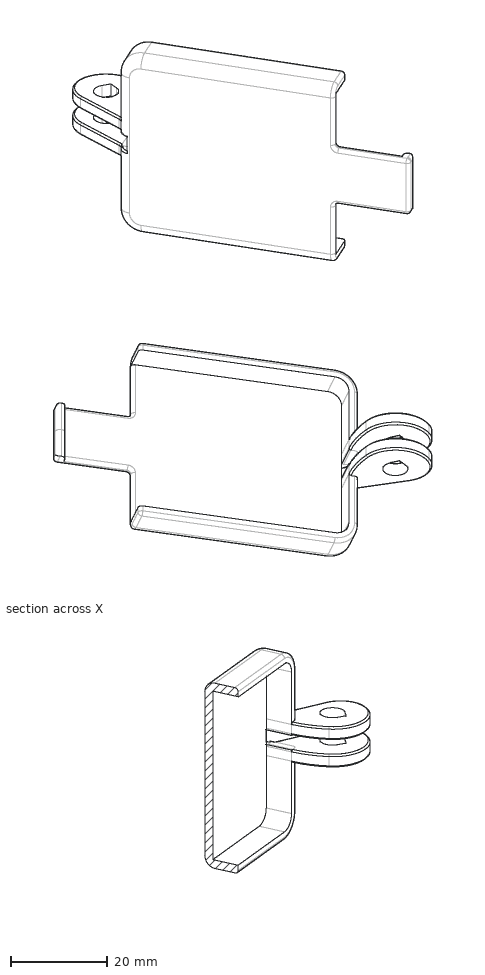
import cadquery as cq
import math

TRAY_LENGTH = 47.0
TRAY_DEPTH = 8.0
TRAY_HEIGHT = 42.0
WALL = 2.0
FLOOR = 2.0
CORNER_RADIUS = 5.0
FLOOR_ROUND = 2.5
FLOOR_ROUND_CENTER = (FLOOR_ROUND, FLOOR_ROUND)
EDGE_ROUND = 0.8

TAB_END = 63.41
TAB_WIDTH = 13.0
BUMP_TOP = 3.08
BUMP_RADIUS = 1.03

LUG_GAP = 3.3
LUG_THICKNESS = 2.9
LUG_CHAMFER = 0.4
HUB = (-6.7, 13.0)
HUB_RADIUS = 7.7
NOSE_X = -14.0
NOSE_RADIUS = 6.0
UNDERSIDE_NORMAL = math.radians(240)
ROOT_RADIUS = 1.85
ROOT_BITE = 0.03
HOLE_CENTER = (-6.65, 12.9)
HOLE_RADIUS = 2.6
HOLE_PEAK = 3.25

MARGIN = 0.1


def point_on_circle(center, radius, angle):
    return (center[0] + radius * math.cos(angle), center[1] + radius * math.sin(angle))


def direction(start, end):
    return math.atan2(end[1] - start[1], end[0] - start[0])


def centered_block(x_start, x_end, y_start, y_end, width):
    """A block between the given X and Y limits, centred on Z = 0."""
    size = (x_end - x_start, y_end - y_start, width)
    block = cq.Workplane("XY").box(*size, centered=(False, False, True))
    return block.translate((x_start, y_start, 0))


def edges_in(x_range, y_range, z_range):
    low, high = zip(x_range, y_range, z_range)
    return cq.selectors.BoxSelector(low, high)


def tab_piece(x_start, y_start, y_end):
    """A full-width block of the tab that ends at its tip, with rounded tip corners."""
    piece = centered_block(x_start, TAB_END, y_start, y_end, TAB_WIDTH)
    return piece.edges("|Y and >X").fillet(EDGE_ROUND)


def make_block_with_tab():
    """The solid outside shape of the tray and its tab, before rounding the end."""
    block = centered_block(0, TRAY_LENGTH, 0, TRAY_DEPTH, TRAY_HEIGHT)
    block = block.edges("|Y and <X").fillet(CORNER_RADIUS)
    block = block.faces("<Y").edges("not >X").fillet(FLOOR_ROUND)
    block = block.faces(">Y").edges("not >X").fillet(EDGE_ROUND)
    return block.union(tab_piece(WALL + CORNER_RADIUS, 0, FLOOR))


def cut_cavity(block):
    inner_height = TRAY_HEIGHT - 2 * WALL
    cavity = centered_block(WALL, TRAY_LENGTH + MARGIN, FLOOR, TRAY_DEPTH + MARGIN, inner_height)
    cavity = cavity.edges("|Y and <X").fillet(CORNER_RADIUS - WALL)
    return block.cut(cavity)


def round_open_end(tray):
    """Round the tab roots, then the outer edges of the open end and of the tab."""
    near_end = (TRAY_LENGTH - MARGIN, TRAY_LENGTH + MARGIN)
    tab_sides = (-TAB_WIDTH / 2 - MARGIN, TAB_WIDTH / 2 + MARGIN)
    roots = edges_in(near_end, (0, FLOOR), tab_sides)
    tray = tray.edges(roots).edges("|Y").fillet(EDGE_ROUND)

    beyond_end = (TRAY_LENGTH - MARGIN, TAB_END + MARGIN)
    half = TRAY_HEIGHT / 2
    under_edges = edges_in(beyond_end, (-MARGIN, MARGIN), (-half, half))
    outer_skin = WALL - MARGIN
    upper_corner = edges_in(beyond_end, (MARGIN, TRAY_DEPTH), (half - outer_skin, half + MARGIN))
    lower_corner = edges_in(beyond_end, (MARGIN, TRAY_DEPTH), (-half - MARGIN, outer_skin - half))
    return tray.edges(under_edges + upper_corner + lower_corner).fillet(EDGE_ROUND)


def round_tab_top(tray):
    """Round the upper edges of the tab and of its roots."""
    beyond_end = (TRAY_LENGTH + MARGIN, TAB_END + MARGIN)
    near_top = (FLOOR - MARGIN, FLOOR + MARGIN)
    tab_sides = (-TAB_WIDTH / 2 - EDGE_ROUND, TAB_WIDTH / 2 + EDGE_ROUND)
    return tray.edges(edges_in(beyond_end, near_top, tab_sides)).fillet(EDGE_ROUND)


def add_bump(tray):
    """A round-topped ridge across the tip of the tab, flush with the sides of the tab."""
    ridge_x = TAB_END - BUMP_RADIUS
    ridge_y = BUMP_TOP - BUMP_RADIUS
    lower = centered_block(ridge_x - BUMP_RADIUS, TAB_END, 0, ridge_y, TAB_WIDTH)
    top = cq.Workplane("XY").center(ridge_x, ridge_y).circle(BUMP_RADIUS)
    ridge = lower.union(top.extrude(TAB_WIDTH / 2, both=True))
    return tray.union(ridge.intersect(tab_piece(ridge_x - BUMP_RADIUS, EDGE_ROUND, BUMP_TOP)))


def nose_center():
    """Center of the nose circle, which touches the hub circle inside and reaches out to NOSE_X."""
    x = NOSE_X + NOSE_RADIUS
    rise = math.sqrt((HUB_RADIUS - NOSE_RADIUS) ** 2 - (x - HUB[0]) ** 2)
    return (x, HUB[1] + rise)


def root_center():
    """Center of the root circle, tangent to the lug underside and meeting the rounded floor edge."""
    nose = nose_center()
    offset_start = point_on_circle(nose, NOSE_RADIUS + ROOT_RADIUS, UNDERSIDE_NORMAL)
    slope_angle = UNDERSIDE_NORMAL + math.pi / 2
    reach = math.dist(offset_start, FLOOR_ROUND_CENTER)
    reach_angle = direction(offset_start, FLOOR_ROUND_CENTER) - slope_angle
    rise = reach * math.sin(reach_angle)
    spacing = FLOOR_ROUND + ROOT_RADIUS - ROOT_BITE
    along = reach * math.cos(reach_angle) - math.sqrt(spacing**2 - rise**2)
    return point_on_circle(offset_start, along, slope_angle)


def lug_outline():
    """Teardrop around the hinge hole, ending inside the closed wall of the tray."""
    nose = nose_center()
    nose_top_angle = direction(HUB, nose)
    nose_top = point_on_circle(HUB, HUB_RADIUS, nose_top_angle)
    nose_tip = (NOSE_X, nose[1])
    nose_middle = point_on_circle(nose, NOSE_RADIUS, (nose_top_angle + math.pi) / 2)
    nose_end = point_on_circle(nose, NOSE_RADIUS, UNDERSIDE_NORMAL)
    nose_lower = point_on_circle(nose, NOSE_RADIUS, (math.pi + UNDERSIDE_NORMAL) / 2)

    back_foot = (WALL, TRAY_DEPTH)
    run = back_foot[0] - HUB[0]
    drop = HUB[1] - back_foot[1]
    back_radius = (run**2 + drop**2 - HUB_RADIUS**2) / (2 * (run - HUB_RADIUS))
    back = (back_foot[0] - back_radius, back_foot[1])
    back_angle = direction(back, HUB)
    back_top = point_on_circle(HUB, HUB_RADIUS, back_angle)
    back_middle = point_on_circle(back, back_radius, back_angle / 2)
    hub_top = (HUB[0], HUB[1] + HUB_RADIUS)
    hub_left = point_on_circle(HUB, HUB_RADIUS, (math.pi / 2 + nose_top_angle) / 2)
    hub_right = point_on_circle(HUB, HUB_RADIUS, (math.pi / 2 + back_angle) / 2)

    root = root_center()
    root_start_angle = UNDERSIDE_NORMAL - math.pi
    root_end_angle = direction(root, FLOOR_ROUND_CENTER)
    root_start = point_on_circle(root, ROOT_RADIUS, root_start_angle)
    root_middle = point_on_circle(root, ROOT_RADIUS, (root_start_angle + root_end_angle) / 2)
    root_end = point_on_circle(root, ROOT_RADIUS, root_end_angle)

    return (
        cq.Workplane("XY")
        .moveTo(*hub_top)
        .threePointArc(hub_left, nose_top)
        .threePointArc(nose_middle, nose_tip)
        .threePointArc(nose_lower, nose_end)
        .lineTo(*root_start)
        .threePointArc(root_middle, root_end)
        .lineTo(WALL, root_end[1])
        .lineTo(*back_foot)
        .threePointArc(back_middle, back_top)
        .threePointArc(hub_right, hub_top)
        .close()
    )


def hinge_hole():
    """Round hole with a small peak towards +Y."""
    tangent_angle = math.acos(HOLE_RADIUS / HOLE_PEAK)
    right = point_on_circle(HOLE_CENTER, HOLE_RADIUS, math.pi / 2 - tangent_angle)
    left = point_on_circle(HOLE_CENTER, HOLE_RADIUS, math.pi / 2 + tangent_angle)
    bottom = (HOLE_CENTER[0], HOLE_CENTER[1] - HOLE_RADIUS)
    peak = (HOLE_CENTER[0], HOLE_CENTER[1] + HOLE_PEAK)
    outline = cq.Workplane("XY").moveTo(*left).threePointArc(bottom, right)
    return outline.lineTo(*peak).close().extrude(TRAY_HEIGHT / 2, both=True)


def cut_notch(tray):
    """Open the closed wall in the gap between the lugs."""
    return tray.cut(centered_block(-MARGIN, WALL, -MARGIN, TRAY_DEPTH + MARGIN, LUG_GAP))


def add_lugs(tray):
    lug = lug_outline().extrude(LUG_THICKNESS)
    lug = lug.faces("<Z or >Z").edges().chamfer(LUG_CHAMFER)
    upper_lug = lug.translate((0, 0, LUG_GAP / 2))
    lower_lug = upper_lug.mirror("XY")
    return tray.union(upper_lug).union(lower_lug)


def notch_edge_cutter():
    """Ring sector that carries the chamfer of the upper lug on along the rounded floor edge."""
    start_angle = direction(root_center(), FLOOR_ROUND_CENTER) + math.pi
    end_angle = 2 * math.pi - math.acos((WALL - FLOOR_ROUND) / FLOOR_ROUND)
    notch_side = LUG_GAP / 2
    corners = [
        (FLOOR_ROUND - LUG_CHAMFER, notch_side),
        (FLOOR_ROUND + MARGIN, notch_side),
        (FLOOR_ROUND + MARGIN, notch_side + LUG_CHAMFER + MARGIN),
    ]
    ring = cq.Workplane("XZ").polyline(corners).close()
    ring = ring.revolve(math.degrees(end_angle - start_angle), (0, 0), (0, 1))
    ring = ring.rotate((0, 0, 0), (0, 0, 1), math.degrees(start_angle))
    ring = ring.translate((*FLOOR_ROUND_CENTER, 0))
    return ring.intersect(centered_block(-WALL, WALL, -WALL, TRAY_DEPTH, TRAY_HEIGHT))


def chamfer_notch(tray):
    upper_cutter = notch_edge_cutter()
    return tray.cut(upper_cutter).cut(upper_cutter.mirror("XY"))


tray = cut_cavity(make_block_with_tab())
tray = round_open_end(tray)
tray = round_tab_top(tray)
tray = add_bump(tray)
tray = cut_notch(tray)
tray = add_lugs(tray)
tray = chamfer_notch(tray)
result = tray.cut(hinge_hole())